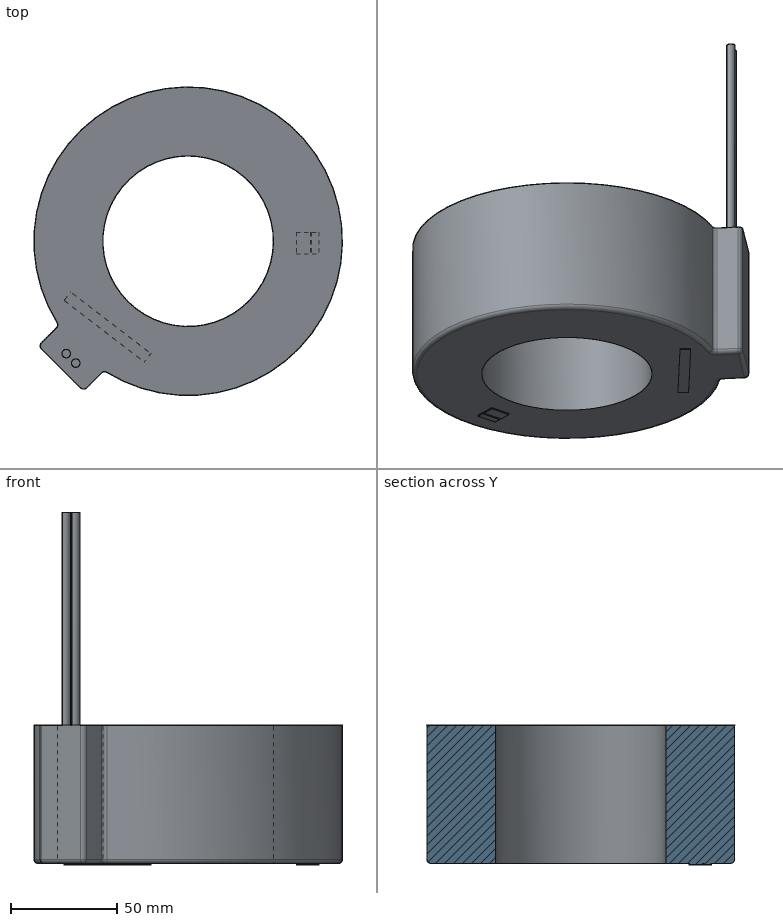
import cadquery as cq
import math

outer_diameter = 145.0
bore_diameter = 80.0
body_height = 65.0
edge_radius = 2.0

block_angle = 225.0
block_width = 30.0
block_reach = 84.5

lead_diameter = 4.0
lead_length = 100.0
lead_spacing = 6.3
lead_radius_position = 77.8

pad_height = 0.6
long_pad_size = (47.5, 5.0)
long_pad_center = (-37.9, -40.3)
long_pad_angle = -37.5
short_pad_length = 10.2
short_pad_center_y = -0.9
short_pads = [(54.2, 6.4), (59.7, 3.5)]


def make_body():
    """Ring and terminal block with rounded corners; built with the block along +X, then turned."""
    disc = cq.Workplane("XY").circle(outer_diameter / 2).extrude(body_height)
    block = (
        cq.Workplane("XY")
        .center(block_reach / 2, 0)
        .rect(block_reach, block_width)
        .extrude(body_height)
    )
    body = disc.union(block)

    half_width = block_width / 2
    joint_x = math.sqrt((outer_diameter / 2) ** 2 - half_width ** 2)
    for corner_x in (joint_x, block_reach):
        for corner_y in (-half_width, half_width):
            corner = cq.selectors.NearestToPointSelector((corner_x, corner_y, body_height / 2))
            body = body.edges("|Z").edges(corner).fillet(edge_radius)

    body = body.faces("<Z").edges().fillet(edge_radius)
    bore = cq.Workplane("XY").circle(bore_diameter / 2).extrude(body_height)
    return body.cut(bore).rotate((0, 0, 0), (0, 0, 1), block_angle)


def make_leads():
    """Pair of round leads rising from the top of the terminal block."""
    angle = math.radians(block_angle)
    points = []
    for offset in (-lead_spacing / 2, lead_spacing / 2):
        lead_x = lead_radius_position * math.cos(angle) - offset * math.sin(angle)
        lead_y = lead_radius_position * math.sin(angle) + offset * math.cos(angle)
        points.append((lead_x, lead_y))
    return (
        cq.Workplane("XY", origin=(0, 0, body_height))
        .pushPoints(points)
        .circle(lead_diameter / 2)
        .extrude(lead_length)
    )


def make_pad(center, size, angle=0.0):
    """Thin rectangular pad projecting below the ring."""
    return (
        cq.Workplane("XY")
        .transformed(offset=(center[0], center[1], 0), rotate=(0, 0, angle))
        .rect(*size)
        .extrude(-pad_height)
    )


result = make_body().union(make_leads())
result = result.union(make_pad(long_pad_center, long_pad_size, long_pad_angle))
for pad_x, pad_width in short_pads:
    result = result.union(make_pad((pad_x, short_pad_center_y), (pad_width, short_pad_length)))